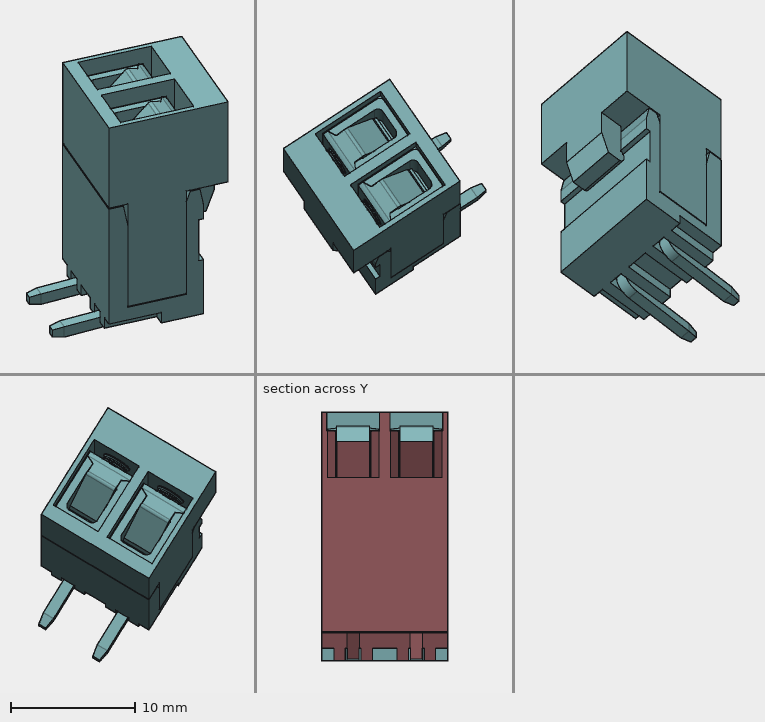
import cadquery as cq
import math


pitch = 5.08
pole_count = 2
width = pole_count * pitch
pole_places = [(i - (pole_count - 1) / 2) * pitch for i in range(pole_count)]

plug_front = 0.02
plug_depth = 10.32
plug_top = 20.02
plug_ledge = 12.25
leg_front = 1.65
leg_back = 6.7
leg_bottom = 2.33

latch_width = 4.16
latch_bottom = 7.72
latch_bevel_top = 9.68
latch_bevel_y = 9.6
latch_nose_start = 9.07
latch_nose_tip = (7.87, 8.47)
latch_nose_end_y = 8.35

pocket_width = 4.22
pocket_front = 1.19
pocket_back = 7.51
pocket_floor = 18.52

cage_width = 4.08
cage_wall = 0.65
cage_front = 1.12
cage_back = 6.8
cage_top = pocket_floor
cage_bottom = 14.78
cage_corner = 0.5
opening_width = cage_width - 2 * cage_wall
opening_front = cage_front + cage_wall
opening_back = 5.25
opening_corner = 0.48

jaw_width = 2.66
rear_edge_z = 18.44
ramp_back = (6.37, 18.65)
ramp_front = (opening_back, 18.9)
slope_top = (4.93, 18.81)
slope_bottom = (2.52, 16.45)
foot_root = (2.35, 15.92)
foot_tip = 2.12
flare_front = 6.01

screw_radius = 1.2
screw_root_radius = 1.08
screw_z = 16.45
screw_front = 5.72
thread_pitch = 0.44
thread_count = 6
screw_back = screw_front + thread_count * thread_pitch

header_depth = 8.2
header_top = 12.15
header_floor = 2.25
back_taper_bottom = 10.55
back_taper_y = 7.89
groove_y = 7.78
groove_bottom = 5.25
groove_top = 9.2
back_lead_bottom = 11.24
back_lead_y = 7.05
front_lead_bottom = 10.2
front_lead_y = 1.27
lead_web = 0.83
notch_width = 1.95
notch_height = 1.02
notch_depth = 4.54
pin_slot_width = 1.25

pin_width = 0.95
pin_slope = 0.05
pin_lowest_z = -0.8
pin_taper_y = -3.04
pin_upper_z = 0.37
pin_lower_z = pin_lowest_z - pin_slope * pin_taper_y
pin_tip_y = -4.0
pin_tip_width = 0.65
pin_tip_top = 0.05
pin_tip_bottom = -0.65
pin_leg_back = 4.0
pin_leg_front = pin_leg_back - pin_width
pin_inner_bend = 0.48
pin_outer_bend = pin_inner_bend + pin_width


def box(x, length, y, z):
    """Block centred on x, spanning the (low, high) pairs y and z."""
    corner = (x - length / 2, y[0], z[0])
    return cq.Workplane("XY").box(length, y[1] - y[0], z[1] - z[0], centered=False).translate(corner)


def side_sketch(x, length):
    """Workplane in Y and Z whose positive extrusion of length is centred on x."""
    return cq.Workplane("YZ", origin=(x - length / 2, 0, 0))


def side_prism(x, length, points):
    return side_sketch(x, length).polyline(points).close().extrude(length)


def make_screw(x):
    """Shank along Y with a ring thread: crest, flank, root and flank take a quarter pitch each."""
    quarter = thread_pitch / 4
    profile = cq.Workplane("XY").moveTo(0, screw_front).lineTo(screw_radius, screw_front)
    for i in range(thread_count):
        ring = screw_front + i * thread_pitch
        profile = profile.lineTo(screw_radius, ring + quarter)
        profile = profile.lineTo(screw_root_radius, ring + 2 * quarter)
        profile = profile.lineTo(screw_root_radius, ring + 3 * quarter)
        profile = profile.lineTo(screw_radius, ring + thread_pitch)
    profile = profile.lineTo(0, screw_back).close()
    return profile.revolve(360, (0, 0, 0), (0, 1, 0)).translate((x, 0, screw_z))


def screw_bore(x):
    """Plain round bore that the screw fits."""
    bore = cq.Workplane("XZ", origin=(x, screw_front, screw_z)).circle(screw_radius)
    return bore.extrude(screw_front - screw_back)


def cage_block(x):
    """Solid outer shape of the cage in front of the ramp, with rounded front corners."""
    block = box(x, cage_width, (cage_front, ramp_back[0]), (cage_bottom, cage_top))
    return block.edges("|Z and <Y").fillet(cage_corner)


def make_jaw(x):
    profile = (
        side_sketch(x, cage_width)
        .moveTo(*slope_top)
        .lineTo(*slope_bottom)
        .lineTo(*foot_root)
        .lineTo(foot_tip, foot_root[1])
        .lineTo(foot_tip, cage_bottom)
        .lineTo(cage_back, cage_bottom)
        .lineTo(cage_back, rear_edge_z)
        .threePointArc(rear_round_middle(), ramp_back)
        .lineTo(*ramp_front)
        .tangentArcPoint(slope_top, relative=False)
        .close()
        .extrude(cage_width)
    )
    outline = (
        cq.Workplane("XY", origin=(x, 0, cage_bottom))
        .moveTo(-jaw_width / 2, foot_tip)
        .lineTo(jaw_width / 2, foot_tip)
        .lineTo(jaw_width / 2, flare_front)
        .lineTo(cage_width / 2, ramp_back[0])
        .lineTo(cage_width / 2, cage_back)
        .lineTo(-cage_width / 2, cage_back)
        .lineTo(-cage_width / 2, ramp_back[0])
        .lineTo(-jaw_width / 2, flare_front)
        .close()
        .extrude(plug_top - cage_bottom)
    )
    return profile.intersect(outline)


def rear_round_middle():
    """Middle of the rounded rear edge, which meets the ramp tangentially."""
    run = cage_back - ramp_back[0]
    drop = ramp_back[1] - rear_edge_z
    chord_angle = math.atan2(drop, run)
    ramp_angle = math.atan2(ramp_front[1] - ramp_back[1], ramp_back[0] - ramp_front[0])
    rise = math.hypot(run, drop) / 2 * math.tan((chord_angle - ramp_angle) / 2)
    middle_y = (cage_back + ramp_back[0]) / 2 + rise * math.sin(chord_angle)
    middle_z = (rear_edge_z + ramp_back[1]) / 2 + rise * math.cos(chord_angle)
    return (middle_y, middle_z)


def make_cage(x):
    opening = box(x, opening_width, (opening_front, opening_back), (cage_bottom, cage_top))
    opening = opening.edges("|Z and <Y").fillet(opening_corner)
    return cage_block(x).cut(opening).union(make_jaw(x)).cut(screw_bore(x))


def make_latch():
    return (
        side_sketch(0, latch_width)
        .moveTo(plug_depth, plug_ledge)
        .lineTo(plug_depth, latch_bevel_top)
        .lineTo(latch_bevel_y, latch_bottom)
        .lineTo(latch_nose_end_y, latch_bottom)
        .threePointArc(latch_nose_tip, (header_depth, latch_nose_start))
        .lineTo(header_depth, plug_ledge)
        .close()
        .extrude(latch_width)
    )


def make_plug():
    plug = box(0, width, (plug_front, plug_depth), (plug_ledge, plug_top))
    plug = plug.union(box(0, width, (leg_front, leg_back), (leg_bottom, plug_ledge)))
    plug = plug.union(make_latch())
    for x in pole_places:
        plug = plug.cut(box(x, pocket_width, (pocket_front, pocket_back), (pocket_floor, plug_top)))
        plug = plug.cut(cage_block(x))
        plug = plug.cut(box(x, cage_width, (ramp_back[0], cage_back), (cage_bottom, cage_top)))
        plug = plug.cut(box(x, pocket_width, (cage_back, pocket_back), (cage_bottom, pocket_floor)))
        plug = plug.cut(screw_bore(x))
    return plug


def pin_z(base, y):
    """Height of a sloping pin face at depth y."""
    return base + pin_slope * y


def make_pin(x):
    taper_top = pin_z(pin_upper_z, pin_taper_y)
    inner_corner = (pin_leg_front, pin_z(pin_upper_z, pin_leg_front))
    outer_corner = (pin_leg_back, pin_z(pin_lower_z, pin_leg_back))
    shank = side_prism(x, pin_width, [
        (pin_taper_y, taper_top),
        inner_corner,
        (pin_leg_front, header_floor),
        (pin_leg_back, header_floor),
        outer_corner,
        (pin_taper_y, pin_lowest_z),
    ])
    for corner, radius in ((inner_corner, pin_inner_bend), (outer_corner, pin_outer_bend)):
        shank = shank.edges(cq.NearestToPointSelector((x, *corner))).fillet(radius)
    root_z = (taper_top + pin_lowest_z) / 2
    tip_z = (pin_tip_top + pin_tip_bottom) / 2
    tip = (
        cq.Workplane("XZ", origin=(x, pin_taper_y, root_z))
        .rect(pin_width, taper_top - pin_lowest_z)
        .workplane(offset=pin_taper_y - pin_tip_y)
        .center(0, tip_z - root_z)
        .rect(pin_tip_width, pin_tip_top - pin_tip_bottom)
        .loft(ruled=True)
    )
    return shank.union(tip)


def make_header():
    header = side_prism(0, width, [
        (0, 0),
        (header_depth, 0),
        (header_depth, groove_bottom),
        (groove_y, groove_bottom),
        (groove_y, groove_top),
        (header_depth, groove_top),
        (header_depth, back_taper_bottom),
        (back_taper_y, header_top),
        (back_lead_y, header_top),
        (leg_back, back_lead_bottom),
        (leg_back, header_floor),
        (leg_front, header_floor),
        (leg_front, header_top),
        (0, header_top),
    ])
    lead_length = (width - lead_web) / 2
    for side in (-1, 1):
        lead_x = side * (lead_web + lead_length) / 2
        header = header.cut(side_prism(lead_x, lead_length, [
            (leg_front, front_lead_bottom),
            (leg_front, header_top),
            (front_lead_y, header_top),
        ]))
    for i in range(pole_count + 1):
        notch_x = i * pitch - width / 2
        header = header.cut(box(notch_x, notch_width, (0, notch_depth), (0, notch_height)))
    for x in pole_places:
        header = header.cut(box(x, pin_slot_width, (0, notch_depth), (0, notch_height)))
        header = header.cut(box(x, pin_width, (pin_leg_front, pin_leg_back), (0, header_floor)))
    return header


plug = make_plug()
pins = [make_pin(x) for x in pole_places]
header = make_header()
cages = [make_cage(x) for x in pole_places]
screws = [make_screw(x) for x in pole_places]

repeated = [body.val() for body in pins + cages + screws]
result = cq.Compound.makeCompound([plug.val(), header.val(), *repeated])